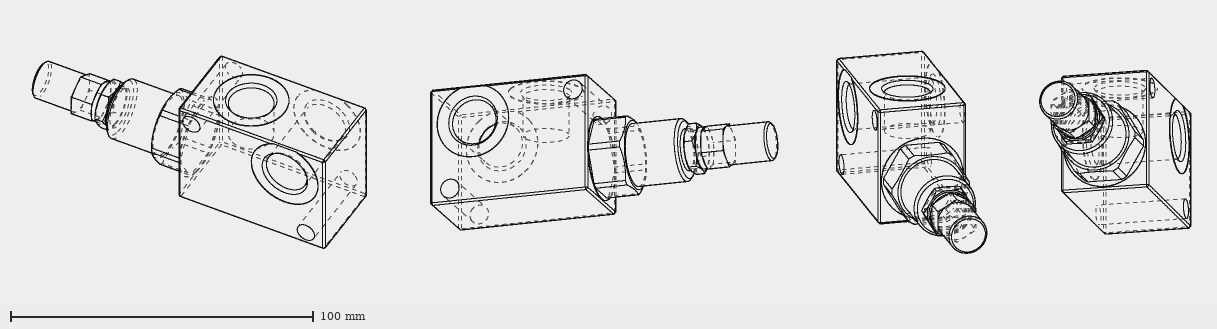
import cadquery as cq
import math

BLOCK_LENGTH = 55.0
BLOCK_WIDTH = 30.0
BLOCK_HEIGHT = 40.0
BLOCK_CHAMFER = 0.7

SPOT_DEPTH = 0.2
PORT_SPOT_DIA = 25.0
CARTRIDGE_SPOT_DIA = 28.0

PORT_DIA = 15.2
PORT_MOUTH_DIA = 17.0
PORT_MOUTH_DEPTH = 1.3
TOP_PORT_X = 19.5
TOP_PORT_DEPTH = 15.0
CROSS_PORT_X = 40.0
CROSS_PORT_Z = 27.8

MOUNT_DIA = 6.5
MOUNT_INSET = 5.0
LOWER_MOUNT_X = 48.0
MOUNT_POINTS = [(MOUNT_INSET, BLOCK_HEIGHT - MOUNT_INSET), (LOWER_MOUNT_X, MOUNT_INSET)]

CARTRIDGE_REACH = 59.55
CAP_LENGTH = 15.0
CAP_HEX_LENGTH = 7.7
FRONT_STEM_LENGTH = 1.8
NUT_LENGTH = 3.9
REAR_STEM_LENGTH = 1.4
SLEEVE_LENGTH = 18.0

CARTRIDGE_Z = 15.0
TIP_X = -CARTRIDGE_REACH
CAP_END_X = TIP_X + CAP_LENGTH
CAP_HEX_END_X = CAP_END_X + CAP_HEX_LENGTH
NUT_START_X = CAP_HEX_END_X + FRONT_STEM_LENGTH
NUT_END_X = NUT_START_X + NUT_LENGTH
SLEEVE_START_X = NUT_END_X + REAR_STEM_LENGTH
SLEEVE_END_X = SLEEVE_START_X + SLEEVE_LENGTH

CAP_DIA = 13.0
CAP_CHAMFER = 0.7
CAP_HEX_FLATS = 13.0
STEM_DIA = 14.0
NUT_FLATS = 15.0
NUT_FACE_DIA = 15.2
NUT_CHAMFER_LENGTH = 0.65
SLEEVE_DIA = 21.0
SLEEVE_CHAMFER = 0.9
BODY_HEX_FLATS = 24.0
BODY_HEX_TURNED_DIA = 26.6
BODY_HEX_FACE_DIA = 23.0
BODY_HEX_CHAMFER_LENGTH = 1.0


def corner_dia(flats):
    """Diameter across the corners of a hexagon with the given width across flats."""
    return flats / math.cos(math.pi / 6)


def axis_plane(x):
    """Plane across the cartridge axis at x, with its normal along +X and local x along Y."""
    return cq.Workplane("YZ", origin=(x, 0, CARTRIDGE_Z))


def rod(start_x, end_x, dia):
    return axis_plane(start_x).circle(dia / 2).extrude(end_x - start_x)


def hexagon(start_x, end_x, flats, turn=0):
    """Hexagonal bar with two corners on the Y axis, turned about X by `turn` degrees."""
    bar = axis_plane(start_x).polygon(6, corner_dia(flats)).extrude(end_x - start_x)
    return bar.rotate((0, 0, CARTRIDGE_Z), (1, 0, CARTRIDGE_Z), turn)


def turned_profile(points):
    """Solid of revolution about the cartridge axis from (x, radius) points."""
    outline = [(x, CARTRIDGE_Z + radius) for x, radius in points]
    axis_start = (0, CARTRIDGE_Z)
    axis_end = (1, CARTRIDGE_Z)
    return cq.Workplane("XZ").polyline(outline).close().revolve(360, axis_start, axis_end)


def make_block():
    size = (BLOCK_LENGTH, BLOCK_WIDTH, BLOCK_HEIGHT)
    block = cq.Workplane("XY").box(*size, centered=(False, True, False))
    return block.edges().chamfer(BLOCK_CHAMFER)


def port_cutter(plane, depth):
    """Spot face, countersunk mouth and bore, cut along the plane's normal from its origin."""
    spot = plane.circle(PORT_SPOT_DIA / 2).extrude(SPOT_DEPTH)
    bore = plane.circle(PORT_DIA / 2).extrude(depth)
    mouth = (
        plane.workplane(offset=SPOT_DEPTH)
        .circle(PORT_MOUTH_DIA / 2)
        .workplane(offset=PORT_MOUTH_DEPTH)
        .circle(PORT_DIA / 2)
        .loft()
    )
    return spot.union(bore).union(mouth)


def cut_ports(block):
    top = cq.Plane(origin=(TOP_PORT_X, 0, BLOCK_HEIGHT), xDir=(1, 0, 0), normal=(0, 0, -1))
    block = block.cut(port_cutter(cq.Workplane(top), TOP_PORT_DEPTH))
    for side in (-1, 1):
        origin = (CROSS_PORT_X, side * BLOCK_WIDTH / 2, CROSS_PORT_Z)
        face = cq.Plane(origin=origin, xDir=(1, 0, 0), normal=(0, -side, 0))
        block = block.cut(port_cutter(cq.Workplane(face), BLOCK_WIDTH / 2))
    return block


def cut_mounting_holes(block):
    holes = (
        cq.Workplane("XZ")
        .pushPoints(MOUNT_POINTS)
        .circle(MOUNT_DIA / 2)
        .extrude(BLOCK_WIDTH / 2, both=True)
    )
    return block.cut(holes)


def make_cap():
    """Round adjuster cap with a hexagon at its base, corners up and down."""
    cap = rod(TIP_X, CAP_END_X, CAP_DIA).faces("<X").chamfer(CAP_CHAMFER)
    return cap.union(hexagon(CAP_END_X, CAP_HEX_END_X, CAP_HEX_FLATS, turn=30))


def make_lock_nut():
    """Thin hexagon with its corners chamfered on both faces."""
    face_radius = NUT_FACE_DIA / 2
    corner_radius = corner_dia(NUT_FLATS) / 2
    envelope = turned_profile([
        (NUT_START_X, 0),
        (NUT_START_X, face_radius),
        (NUT_START_X + NUT_CHAMFER_LENGTH, corner_radius),
        (NUT_END_X - NUT_CHAMFER_LENGTH, corner_radius),
        (NUT_END_X, face_radius),
        (NUT_END_X, 0),
    ])
    return hexagon(NUT_START_X, NUT_END_X, NUT_FLATS).intersect(envelope)


def make_sleeve():
    return rod(SLEEVE_START_X, SLEEVE_END_X, SLEEVE_DIA).faces("<X").chamfer(SLEEVE_CHAMFER)


def make_body_hexagon():
    """Large hexagon, corners turned down and outer face chamfered, seated on the block."""
    seat_x = SPOT_DEPTH
    turned_radius = BODY_HEX_TURNED_DIA / 2
    envelope = turned_profile([
        (SLEEVE_END_X, 0),
        (SLEEVE_END_X, BODY_HEX_FACE_DIA / 2),
        (SLEEVE_END_X + BODY_HEX_CHAMFER_LENGTH, turned_radius),
        (seat_x, turned_radius),
        (seat_x, 0),
    ])
    return hexagon(SLEEVE_END_X, seat_x, BODY_HEX_FLATS).intersect(envelope)


def make_cartridge():
    stem = rod(CAP_HEX_END_X, SLEEVE_START_X, STEM_DIA)
    cartridge = make_cap().union(stem).union(make_lock_nut())
    return cartridge.union(make_sleeve()).union(make_body_hexagon())


body = cut_mounting_holes(cut_ports(make_block()))
cartridge_spot = rod(0, SPOT_DEPTH, CARTRIDGE_SPOT_DIA)
body = body.cut(cartridge_spot)
result = body.union(make_cartridge())